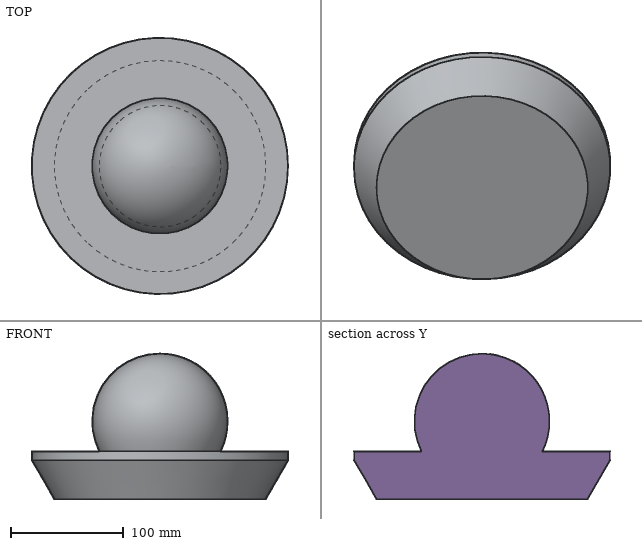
import cadquery as cq

rim_diameter = 227.0
foot_diameter = 187.0
rim_thickness = 8.0
base_height = 42.5

ball_diameter = 120.0
overall_height = 129.2

rim_radius = rim_diameter / 2
foot_radius = foot_diameter / 2
flare_height = base_height - rim_thickness
ball_radius = ball_diameter / 2
ball_center_height = overall_height - ball_radius


def make_base():
    """Revolve the half section of the base about Z."""
    half_section = (
        cq.Workplane("XZ")
        .lineTo(foot_radius, 0)
        .lineTo(rim_radius, flare_height)
        .lineTo(rim_radius, base_height)
        .lineTo(0, base_height)
        .close()
    )
    return half_section.revolve(360, (0, 0, 0), (0, 1, 0))


def make_ball():
    """Place the ball on the axis of the base, with its top at the overall height."""
    return cq.Workplane("XY").workplane(offset=ball_center_height).sphere(ball_radius)


result = make_base().union(make_ball())